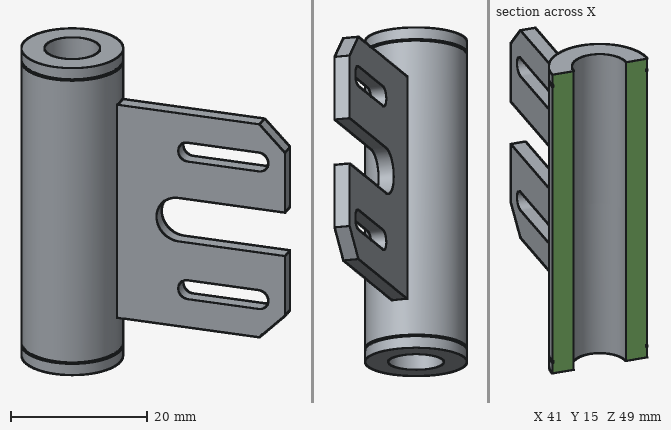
import cadquery as cq

length = 49.0
barrel_diameter = 15.0
bore_diameter = 8.2
collar_height = 1.8
groove_width = 0.2
groove_depth = 0.2

overall_width = 41.0
plate_end_x = overall_width - barrel_diameter / 2
plate_height = 34.0
plate_thickness = 2.35
corner_chamfer = 3.95

slot_length = 14.0
slot_width = 3.0
slot_center_x = 23.9
slot_offset_z = 11.0
notch_width = 6.9
notch_start_x = 13.5


def cylinder(diameter, height):
    """Solid cylinder on the Z axis, centred on the origin."""
    return cq.Workplane("XY").circle(diameter / 2).extrude(height / 2, both=True)


def slot_cutter(center_x, center_z, slot_len, width):
    """Round-ended slot along X, passing through the plate along Y."""
    return (
        cq.Workplane("XZ")
        .center(center_x, center_z)
        .slot2D(slot_len, width)
        .extrude(plate_thickness, both=True)
    )


def make_barrel():
    """Cylinder whose end collars are set off by narrow grooves."""
    barrel = cylinder(barrel_diameter, length)
    groove_ring = cylinder(barrel_diameter, groove_width).cut(
        cylinder(barrel_diameter - 2 * groove_depth, groove_width)
    )
    groove_center_z = length / 2 - collar_height - groove_width / 2
    for side in (-1, 1):
        barrel = barrel.cut(groove_ring.translate((0, 0, side * groove_center_z)))
    return barrel


def make_plate():
    """Flat plate from the barrel axis outwards, with slots and notch."""
    plate = (
        cq.Workplane("XY")
        .box(plate_end_x, plate_thickness, plate_height)
        .translate((plate_end_x / 2, 0, 0))
        .edges("|Y and >X")
        .chamfer(corner_chamfer)
    )
    for side in (-1, 1):
        plate = plate.cut(slot_cutter(slot_center_x, side * slot_offset_z, slot_length, slot_width))

    notch_length = plate_end_x - notch_start_x + notch_width
    notch_center_x = notch_start_x + notch_length / 2
    return plate.cut(slot_cutter(notch_center_x, 0, notch_length, notch_width))


result = make_barrel().union(make_plate()).cut(cylinder(bore_diameter, length))